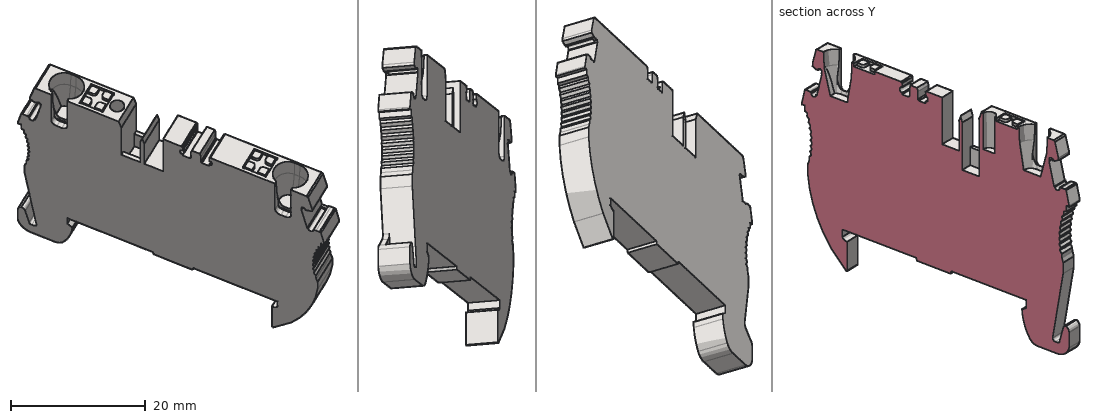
import cadquery as cq
import math

LENGTH = 50.8
THICKNESS = 5.0
HEIGHT = 36.0
MID_Y = THICKNESS / 2
OVER = 0.5

TOOTH_COUNT = 8
TOOTH_PITCH = 0.95
TOOTH_DEPTH = 0.25
FIRST_ROOT_Z = 24.5
GRIP_RADIUS = 12.7
GRIP_MID_Z = 19.8
GRIP_DEEPEST_X = 1.95

RAIL_Z = 7.05
PAD_Z = 6.6
FOOT_INNER_X = 8.25
CLAW_SEAT_X = 43.05
CLAW_X = 42.15

WEB = 0.45
HOOK_UNDERCUTS = [(3.45, 32.4, 0.35), (2.3, 28.15, 0.4)]

FOOT_WEB = 1.0
FOOT_WEB_TOP_Z = 7.35
FOOT_TIP = (0.6, 5.3)
LEG_TOP = (1.1, 14.1)
LEG_BOTTOM = (3.1, 2.55)

GAP_LEFT = 17.2
GAP_RIGHT = 24.1
GAP_FLOOR_Z = 28.05
GAP_LEAD_IN_X = 0.45
GAP_LEAD_IN_Z = 1.25
BLADE_X = 20.65
BLADE_WIDTH = 0.7
BLADE_TIP_Z = 34.05
BLADE_SHOULDER_Z = 33.05
GAP_POCKET_WIDTH = 3.65
GAP_POCKET_DEPTH = 3.05

POST_X = 29.55
POST_TOP_HALF = 0.65
POST_HALF = 0.8
POST_TAPER_Z = 0.5
BRIDGE_OUTER = 2.2
BRIDGE_FLOOR_Z = 33.9
BRIDGE_CHAMFER = 0.2
BRIDGE_UNDERCUT_Z = 34.6
BRIDGE_UNDERCUT_RADIUS = 0.45

SCREW_X = 6.85
SCREW_LENGTH = 5.35
SCREW_WIDTH = 4.45
SCREW_DRAFT = 0.125
SCREW_STEP_Z = 33.4
SCREW_INSET = 0.75
SCREW_FLOOR_Z = 28.95
SCREW_FLOOR_OUTER_X = 5.5
CHANNEL_WIDTH = 2.65
CHANNEL_DEPTH = 1.0
CHANNEL_BOTTOM_Z = 28.8
CHANNEL_CORNER = 0.9

MARKER_X = 11.9
MARKER_SIZE = 3.85
MARKER_DEPTH = 0.5
MARKER_FRAME = 0.2
MARKER_PAD = 1.25
MARKER_PAD_CORNER = 0.5

TEST_X = 15.25
TEST_DIAMETER = 2.15
TEST_DEPTH = 6.1


def mirrored(points):
    """Reflect X-Z points about the middle of the length."""
    return [(LENGTH - x, z) for x, z in points]


def across(sketch, y_start, y_end):
    """Extrude an X-Z sketch from y_start to y_end."""
    return sketch.extrude(y_start - y_end).translate((0, y_start, 0))


def plate(points):
    """Closed X-Z polygon extruded through the whole thickness."""
    return across(cq.Workplane("XZ").polyline(points).close(), -OVER, THICKNESS + OVER)


def rod(x, z, radius, y_end):
    """Round bar along Y, open through the front face."""
    return across(cq.Workplane("XZ").center(x, z).circle(radius), -OVER, y_end)


def both_ends(shape):
    """The shape together with its mirror image at the other end."""
    flipped = shape.mirror("YZ").translate((LENGTH, 0, 0))
    return shape.union(flipped)


def grip_x(z):
    """X of the left tooth roots, on an arc hollowed into the flank."""
    return GRIP_DEEPEST_X - GRIP_RADIUS + math.sqrt(GRIP_RADIUS**2 - (z - GRIP_MID_Z) ** 2)


def leg_x(z):
    """X of the straight leg face at height z."""
    slope = (LEG_BOTTOM[0] - LEG_TOP[0]) / (LEG_BOTTOM[1] - LEG_TOP[1])
    return LEG_TOP[0] + slope * (z - LEG_TOP[1])


def flank():
    """Left side outline from the top corner down to the end of the teeth."""
    points = [(2.95, HEIGHT), (2.7, 35.8), (2.05, 33.35), (2.05, 32.85), (2.75, 32.45), (3.65, 32.4)]
    points += [(3.8, 32.1), (2.85, 28.15), (1.9, 28.15), (1.8, 28.35), (1.4, 28.4), (0.8, 28.4)]
    points += [(0.55, 28.3), (0, 25.9), (0, 25.6), (0.55, 25.6), (0.55, 24.7)]
    for i in range(TOOTH_COUNT):
        root_z = FIRST_ROOT_Z - i * TOOTH_PITCH
        tip_z = root_z - TOOTH_PITCH / 2
        points.append((grip_x(root_z), root_z))
        points.append((grip_x(tip_z) - TOOTH_DEPTH, tip_z))
    points += [(1.35, 16.6), (1.1, 15.85)]
    return points


def housing():
    left = flank()
    right = mirrored(left)
    outline = cq.Workplane("XZ").polyline(left)
    outline = outline.lineTo(*LEG_TOP).lineTo(leg_x(FOOT_WEB_TOP_Z), FOOT_WEB_TOP_Z)
    outline = outline.threePointArc((2.2, 6.8), (1.95, 6.45)).lineTo(*FOOT_TIP)
    outline = outline.threePointArc((0.2, 5.0), (0, 4.45)).lineTo(0, 1.9)
    outline = outline.threePointArc((0.65, 0.65), (2.15, 0)).lineTo(5.95, 0)
    outline = outline.threePointArc((6.85, 0.2), (7.6, 0.9))
    outline = outline.threePointArc((8.5, 2.6), (8.95, 4.35)).lineTo(9.05, 5.25)
    outline = outline.lineTo(FOOT_INNER_X, 5.75).lineTo(FOOT_INNER_X, RAIL_Z)
    outline = outline.lineTo(22.35, RAIL_Z).lineTo(22.55, PAD_Z).lineTo(28.95, PAD_Z).lineTo(29.1, RAIL_Z)
    outline = outline.lineTo(CLAW_SEAT_X, RAIL_Z).lineTo(CLAW_SEAT_X, 5.9)
    outline = outline.threePointArc((42.85, 5.6), (CLAW_X, 5.4)).lineTo(CLAW_X, 0.4)
    outline = outline.lineTo(42.4, 0.3).lineTo(45.35, 3.25)
    outline = outline.threePointArc((48.55, 9.0), (49.7, 14.25))
    for point in reversed(right):
        outline = outline.lineTo(*point)
    return across(outline.close(), 0, THICKNESS)


def foot_slot():
    """Tapered slot beside the foot, open at the front and closed by a web at the back."""
    sketch = cq.Workplane("XZ").moveTo(leg_x(FOOT_WEB_TOP_Z), FOOT_WEB_TOP_Z).lineTo(*LEG_BOTTOM)
    sketch = sketch.threePointArc((3.05, 2.2), (2.7, 2.0)).lineTo(2.3, 2.0)
    sketch = sketch.threePointArc((2.0, 2.1), (1.9, 2.35)).lineTo(1.2, 4.8)
    sketch = sketch.threePointArc((1.0, 5.15), FOOT_TIP).lineTo(FOOT_TIP[0], FOOT_WEB_TOP_Z)
    return across(sketch.close(), -OVER, THICKNESS - FOOT_WEB)


def disconnect_gap():
    top = HEIGHT + OVER
    gap = plate([
        (GAP_LEFT - GAP_LEAD_IN_X, top),
        (GAP_LEFT - GAP_LEAD_IN_X, HEIGHT),
        (GAP_LEFT, HEIGHT - GAP_LEAD_IN_Z),
        (GAP_LEFT, GAP_FLOOR_Z),
        (GAP_RIGHT, GAP_FLOOR_Z),
        (GAP_RIGHT, top),
    ])
    blade_left = BLADE_X - BLADE_WIDTH / 2
    blade_right = BLADE_X + BLADE_WIDTH / 2
    blade = plate([
        (blade_left, GAP_FLOOR_Z),
        (blade_left, BLADE_SHOULDER_Z),
        (BLADE_X, BLADE_TIP_Z),
        (blade_right, BLADE_SHOULDER_Z),
        (blade_right, GAP_FLOOR_Z),
    ])
    pocket_z = GAP_FLOOR_Z - GAP_POCKET_DEPTH
    pocket = cq.Workplane("XY").box(
        blade_left - GAP_LEFT, GAP_POCKET_WIDTH, GAP_POCKET_DEPTH + OVER, centered=(False, True, False)
    ).translate((GAP_LEFT, MID_Y, pocket_z))
    return gap.cut(blade).union(pocket)


def bridge_slot(side):
    """Slot on one side of the post (-1 left, +1 right), with an undercut in its outer wall."""
    wall = BRIDGE_OUTER
    profile = [
        (POST_TOP_HALF, HEIGHT + OVER),
        (POST_TOP_HALF, HEIGHT),
        (POST_HALF, HEIGHT - POST_TAPER_Z),
        (POST_HALF, BRIDGE_FLOOR_Z + BRIDGE_CHAMFER),
        (POST_HALF + BRIDGE_CHAMFER, BRIDGE_FLOOR_Z),
        (wall, BRIDGE_FLOOR_Z),
        (wall, HEIGHT - BRIDGE_CHAMFER),
        (wall + BRIDGE_CHAMFER, HEIGHT),
        (wall + BRIDGE_CHAMFER, HEIGHT + OVER),
    ]
    slot = plate([(POST_X + side * x, z) for x, z in profile])
    undercut = rod(POST_X + side * wall, BRIDGE_UNDERCUT_Z, BRIDGE_UNDERCUT_RADIUS, THICKNESS - WEB)
    return slot.union(undercut)


def oval_stage(top_z, bottom_z, inset_top, inset_bottom):
    """Obround stage of a screw pocket, narrowing evenly from top_z to bottom_z."""
    depth = top_z - bottom_z
    draft = math.degrees(math.atan2(inset_bottom - inset_top, depth))
    plane = cq.Workplane("XY", origin=(SCREW_X, MID_Y, top_z))
    oval = plane.slot2D(SCREW_LENGTH - 2 * inset_top, SCREW_WIDTH - 2 * inset_top)
    return oval.extrude(-depth, taper=draft)


def screw_pocket():
    upper = oval_stage(HEIGHT, SCREW_STEP_Z, 0, SCREW_DRAFT)
    lower = oval_stage(SCREW_STEP_Z, SCREW_FLOOR_Z, SCREW_DRAFT, SCREW_DRAFT + SCREW_INSET)
    ramp_top_x = SCREW_X - SCREW_LENGTH / 2 + SCREW_DRAFT
    beyond_x = SCREW_X + SCREW_LENGTH
    lower = lower.intersect(plate([
        (ramp_top_x, SCREW_STEP_Z),
        (SCREW_FLOOR_OUTER_X, SCREW_FLOOR_Z),
        (beyond_x, SCREW_FLOOR_Z),
        (beyond_x, SCREW_STEP_Z),
    ]))
    channel = cq.Workplane("XY").box(
        CHANNEL_WIDTH, CHANNEL_DEPTH + OVER, HEIGHT + OVER - CHANNEL_BOTTOM_Z, centered=(True, False, False)
    )
    channel = channel.edges("|Y and <Z").fillet(CHANNEL_CORNER)
    channel = channel.translate((SCREW_X, -OVER, CHANNEL_BOTTOM_Z))
    return upper.union(lower).union(channel)


def marker_recess():
    """Square recess with four pads left standing in its corners."""
    floor = cq.Workplane("XY", origin=(MARKER_X, MID_Y, HEIGHT - MARKER_DEPTH))
    recess = floor.rect(MARKER_SIZE, MARKER_SIZE).extrude(MARKER_DEPTH + OVER)
    offset = MARKER_SIZE / 2 - MARKER_FRAME - MARKER_PAD / 2
    for x_side, inner_x in ((-1, ">X"), (1, "<X")):
        for y_side, inner_y in ((-1, ">Y"), (1, "<Y")):
            pad = floor.center(x_side * offset, y_side * offset).rect(MARKER_PAD, MARKER_PAD)
            pad = pad.extrude(MARKER_DEPTH)
            pad = pad.edges("|Z").edges(inner_x).edges(inner_y).fillet(MARKER_PAD_CORNER)
            recess = recess.cut(pad)
    return recess


def test_hole():
    plane = cq.Workplane("XY", origin=(TEST_X, MID_Y, HEIGHT))
    return plane.circle(TEST_DIAMETER / 2).extrude(-TEST_DEPTH)


result = housing().cut(foot_slot()).cut(disconnect_gap()).cut(test_hole())
for side in (-1, 1):
    result = result.cut(bridge_slot(side))
for x, z, radius in HOOK_UNDERCUTS:
    result = result.cut(both_ends(rod(x, z, radius, THICKNESS - WEB)))
result = result.cut(both_ends(screw_pocket())).cut(both_ends(marker_recess()))